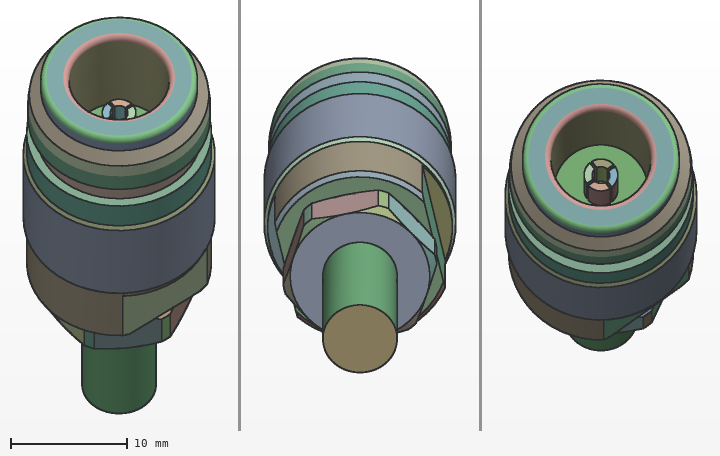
import math

import cadquery as cq

ferrule_length = 13.0
ferrule_radius = 3.2
nut_height = 4.0
nut_across_flats = 12.0
nut_sides = 6
nut_corner_radius = 6.68
nut_chamfer_angle = 30.0

body_base_z = ferrule_length + nut_height
body_base_chamfer = 0.4
shoulder_radius = 7.95
barrel_radius = 8.25
barrel_base_z = 23.5
barrel_top_z = 33.05
barrel_chamfer = barrel_radius - shoulder_radius
flats_height = 6.0
across_flats = 13.0

groove_base_z = 35.85
groove_top_z = 37.45
groove_radius = 7.15
collar_radius = 7.85
collar_base_z = 38.1
collar_taper_z = 39.95
collar_top_radius = 7.72
collar_top_z = 41.25
nose_radius = 6.75
nose_base_z = 42.15
top_z = 43.65
rim_fillet = 0.5

socket_mouth_radius = 4.3
socket_floor_radius = 4.05
socket_depth = 9.0

contact_radius = 1.45
contact_bore_radius = 0.75
contact_tip_depth = 5.0
contact_slot_width = 0.2
contact_slot_count = 4

def make_body():
    """Revolved outer shape of the body, from the nut face to the nose rim."""
    profile = [
        (0, body_base_z),
        (shoulder_radius - body_base_chamfer, body_base_z),
        (shoulder_radius, body_base_z + body_base_chamfer),
        (shoulder_radius, barrel_base_z),
        (barrel_radius, barrel_base_z + barrel_chamfer),
        (barrel_radius, barrel_top_z - barrel_chamfer),
        (shoulder_radius, barrel_top_z),
        (shoulder_radius, groove_base_z),
        (groove_radius, groove_base_z),
        (groove_radius, groove_top_z),
        (collar_radius, collar_base_z),
        (collar_radius, collar_taper_z),
        (collar_top_radius, collar_top_z),
        (nose_radius, nose_base_z),
        (nose_radius, top_z),
        (0, top_z),
    ]
    body = cq.Workplane("XZ").polyline(profile).close().revolve(360, (0, 0), (0, 1))
    return body.faces(">Z").edges().fillet(rim_fillet)

def cut_wrench_flats(body):
    """Two parallel flats facing -X and +X on the lower shoulder."""
    cutter_depth = barrel_radius
    for side in (-1, 1):
        cutter = cq.Workplane("XY").box(
            cutter_depth, 2 * barrel_radius, flats_height, centered=(True, True, False)
        )
        offset = side * (across_flats + cutter_depth) / 2
        body = body.cut(cutter.translate((offset, 0, body_base_z)))
    return body

def make_socket():
    """Void of the socket: flat floor, slightly tapered wall and rounded mouth."""
    mouth_z = top_z - rim_fillet
    arc_offset = rim_fillet * math.sqrt(0.5)
    arc_center_radius = socket_mouth_radius + rim_fillet
    return (
        cq.Workplane("XZ")
        .moveTo(0, top_z - socket_depth)
        .lineTo(socket_floor_radius, top_z - socket_depth)
        .lineTo(socket_mouth_radius, mouth_z)
        .threePointArc(
            (arc_center_radius - arc_offset, mouth_z + arc_offset),
            (arc_center_radius, top_z),
        )
        .lineTo(0, top_z)
        .close()
        .revolve(360, (0, 0), (0, 1))
    )

def make_contact():
    """Hollow pin split into equal fingers by radial slots."""
    length = socket_depth - contact_tip_depth
    contact = cq.Workplane("XY").circle(contact_radius).circle(contact_bore_radius).extrude(length)
    for index in range(contact_slot_count):
        slot = cq.Workplane("XY").box(
            2 * contact_radius, contact_slot_width, length, centered=(False, True, False)
        )
        contact = contact.cut(slot.rotate((0, 0, 0), (0, 0, 1), index * 360 / contact_slot_count))
    return contact.translate((0, 0, top_z - socket_depth))

def make_nut():
    """Hexagon nut with truncated corners and conical chamfers on both ends."""
    across_corners = nut_across_flats / math.cos(math.pi / nut_sides)
    hexagon = cq.Workplane("XY").polygon(nut_sides, across_corners).extrude(nut_height)
    face_radius = nut_across_flats / 2
    chamfer_width = nut_corner_radius - face_radius
    chamfer_height = chamfer_width * math.tan(math.radians(nut_chamfer_angle))
    envelope = (
        cq.Workplane("XY")
        .circle(nut_corner_radius)
        .extrude(nut_height)
        .edges()
        .chamfer(chamfer_height, chamfer_width)
    )
    return hexagon.intersect(envelope).translate((0, 0, ferrule_length))

def make_ferrule():
    """Plain cylinder that leaves the lower end of the nut."""
    return cq.Workplane("XY").circle(ferrule_radius).extrude(ferrule_length)

shell = cut_wrench_flats(make_body()).cut(make_socket())
result = shell.union(make_contact()).union(make_nut()).union(make_ferrule())